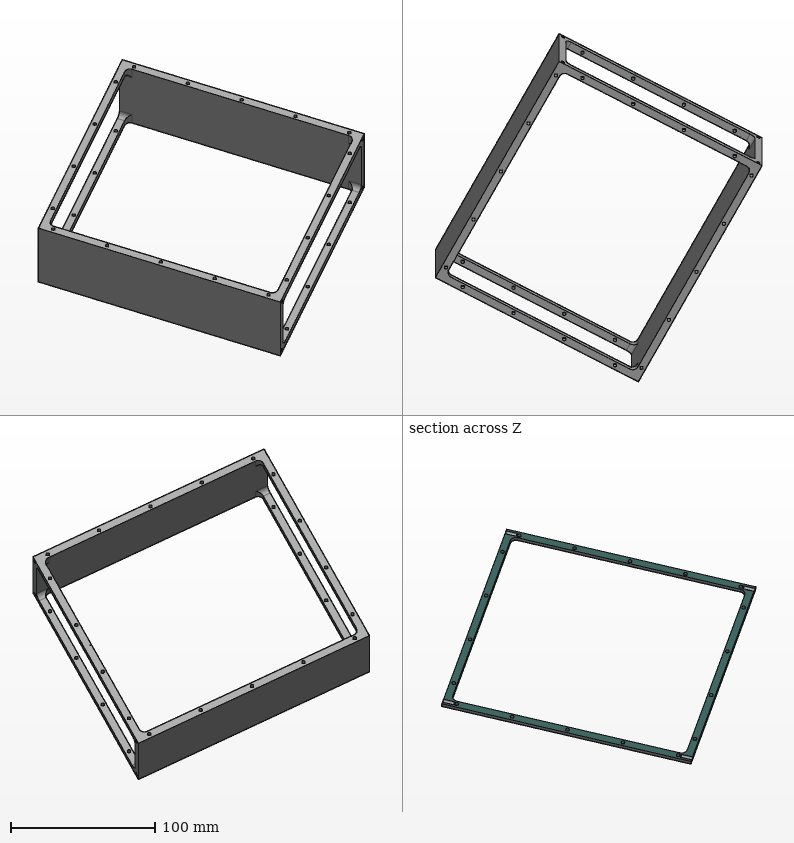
import cadquery as cq
import math

LENGTH_X = 180.0
WIDTH_Y = 160.0
HEIGHT_Z = 60.0

WALL = 5.5
CORNER_RADIUS = 4.0

HOLE_DIAMETER = 2.25
HOLE_INSET = 3.0
HOLE_PITCH = 40.0
WALL_HOLE_COUNT = 5
BAR_HOLE_COUNT = 4
BLIND_HOLE_DEPTH = 8.0
DRILL_TIP_ANGLE = 118.0

HOLE_X = LENGTH_X / 2 - HOLE_INSET
HOLE_Y = WIDTH_Y / 2 - HOLE_INSET
HOLE_Z = HEIGHT_Z / 2 - HOLE_INSET


def row_positions(count):
    """Positions of evenly pitched holes, centred on zero."""
    return [(i - (count - 1) / 2) * HOLE_PITCH for i in range(count)]


def vertical_opening():
    """Rounded opening through the top and bottom."""
    return (
        cq.Workplane("XY")
        .box(LENGTH_X - 2 * WALL, WIDTH_Y - 2 * WALL, HEIGHT_Z)
        .edges("|Z")
        .fillet(CORNER_RADIUS)
    )


def end_opening():
    """Rounded opening through both X ends."""
    return (
        cq.Workplane("XY")
        .box(LENGTH_X, WIDTH_Y - 2 * WALL, HEIGHT_Z - 2 * WALL)
        .edges("|X")
        .fillet(CORNER_RADIUS)
    )


def bar_holes():
    """Vertical holes right through the upper and lower bars at both X ends."""
    points = [(x, y) for x in (-HOLE_X, HOLE_X) for y in row_positions(BAR_HOLE_COUNT)]
    return (
        cq.Workplane("XY", origin=(0, 0, -HEIGHT_Z / 2))
        .pushPoints(points)
        .circle(HOLE_DIAMETER / 2)
        .extrude(HEIGHT_Z)
    )


def blind_hole(entry, inward):
    """Cutter for one drilled hole with a conical bottom."""
    radius = HOLE_DIAMETER / 2
    tip_length = radius / math.tan(math.radians(DRILL_TIP_ANGLE / 2))
    shoulder = entry + inward * BLIND_HOLE_DEPTH
    barrel = cq.Solid.makeCylinder(radius, BLIND_HOLE_DEPTH, entry, inward)
    tip = cq.Solid.makeCone(radius, 0, tip_length, shoulder, inward)
    return barrel.fuse(tip)


def wall_holes(side):
    """Blind vertical holes along both Y walls; side is 1 for the top, -1 for the bottom."""
    inward = cq.Vector(0, 0, -side)
    return [
        blind_hole(cq.Vector(x, y, side * HEIGHT_Z / 2), inward)
        for x in row_positions(WALL_HOLE_COUNT)
        for y in (-HOLE_Y, HOLE_Y)
    ]


def end_holes(side):
    """Blind holes in the four corners of an end face; side is 1 for +X, -1 for -X."""
    inward = cq.Vector(-side, 0, 0)
    return [
        blind_hole(cq.Vector(side * LENGTH_X / 2, y, z), inward)
        for y in (-HOLE_Y, HOLE_Y)
        for z in (-HOLE_Z, HOLE_Z)
    ]


result = cq.Workplane("XY").box(LENGTH_X, WIDTH_Y, HEIGHT_Z)
result = result.cut(vertical_opening()).cut(end_opening()).cut(bar_holes())
for side in (-1, 1):
    for hole in wall_holes(side) + end_holes(side):
        result = result.cut(hole)